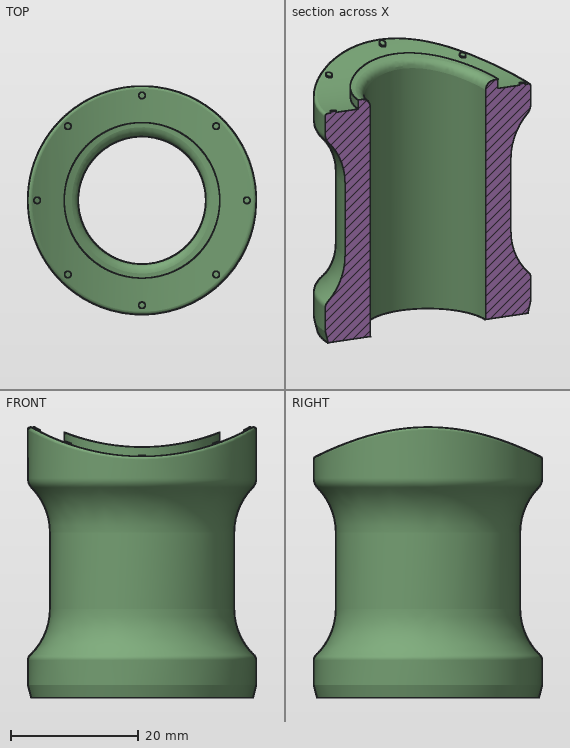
import cadquery as cq
import math

flange_radius = 18.0
neck_radius = 14.55
bore_radius = 10.0
neck_bottom = 14.0
neck_top = 26.05
flare_radius = 10.0
lower_flange_round = 1.05
upper_flange_round = 2.0
base_taper_height = 2.0
base_taper_inset = 0.5

saddle_radius = 35.0
saddle_low_z = 38.0
saddle_axis_z = saddle_low_z + saddle_radius
saddle_edge_round = 0.45

collar_radius = 12.25
collar_height = 1.5
collar_round = 1.5

stud_count = 8
stud_circle_radius = 16.5
stud_radius = 0.5
stud_height = 0.2

blank_height = 46.9
clearance = 0.43
stud_embed = 1.3


def flare_arcs(round_radius):
    """Flare from the neck to the flange wall, ending in a tangent rounding.

    Returns (radius, distance from the neck end) for the middle and end of the
    flare arc, then the middle and end of the rounding.
    """
    flare_center = neck_radius + flare_radius
    round_center = flange_radius - round_radius
    center_distance = flare_radius + round_radius
    rise = math.sqrt(center_distance**2 - (flare_center - round_center) ** 2)
    angle = math.asin(rise / center_distance)

    def on_flare(turn):
        return (flare_center - flare_radius * math.cos(turn), flare_radius * math.sin(turn))

    def on_round(turn):
        return (round_center + round_radius * math.cos(turn), rise - round_radius * math.sin(turn))

    return on_flare(angle / 2), on_flare(angle), on_round(angle / 2), on_round(0)


def below_neck(point):
    return (point[0], neck_bottom - point[1])


def above_neck(point):
    return (point[0], neck_top + point[1])


def make_spool():
    """Solid spool, taller than the finished saddle."""
    lower = [below_neck(point) for point in flare_arcs(lower_flange_round)]
    upper = [above_neck(point) for point in flare_arcs(upper_flange_round)]
    lower_flare_mid, lower_flare_end, lower_round_mid, lower_round_end = lower
    upper_flare_mid, upper_flare_end, upper_round_mid, upper_round_end = upper
    return (
        cq.Workplane("XZ")
        .lineTo(flange_radius - base_taper_inset, 0)
        .lineTo(flange_radius, base_taper_height)
        .lineTo(*lower_round_end)
        .threePointArc(lower_round_mid, lower_flare_end)
        .threePointArc(lower_flare_mid, (neck_radius, neck_bottom))
        .lineTo(neck_radius, neck_top)
        .threePointArc(upper_flare_mid, upper_flare_end)
        .threePointArc(upper_round_mid, upper_round_end)
        .lineTo(flange_radius, blank_height)
        .lineTo(0, blank_height)
        .close()
        .revolve(360, (0, 0, 0), (0, 1, 0))
    )


def saddle_cylinder(offset):
    """Cylinder whose lowest line lies `offset` above the saddle seat."""
    return (
        cq.Workplane("XZ")
        .center(0, saddle_axis_z)
        .circle(saddle_radius - offset)
        .extrude(flange_radius + clearance, both=True)
    )


def column(radius, x=0, y=0, base_z=0):
    return cq.Workplane("XY", origin=(x, y, base_z)).circle(radius).extrude(blank_height - base_z)


def edges_above_saddle_low(part, radius):
    """Edges lying near or above the saddle's lowest line and within `radius` of the axis."""
    reach = radius + clearance
    corner_low = (-reach, -reach, saddle_low_z - clearance)
    corner_high = (reach, reach, blank_height)
    return part.edges(cq.selectors.BoxSelector(corner_low, corner_high, boundingbox=True))


def make_body():
    body = make_spool().cut(saddle_cylinder(0))
    return edges_above_saddle_low(body, flange_radius).fillet(saddle_edge_round)


def make_collar():
    """Collar with its bore and rounded mouth, reaching down into the neck."""
    collar = column(collar_radius, base_z=neck_top)
    collar = collar.cut(saddle_cylinder(collar_height)).cut(column(bore_radius))
    return edges_above_saddle_low(collar, bore_radius).fillet(collar_round)


def make_studs():
    """Short upright pins whose ends follow the saddle."""
    studs = cq.Workplane("XY")
    for index in range(stud_count):
        angle = 2 * math.pi * index / stud_count
        x = stud_circle_radius * math.cos(angle)
        y = stud_circle_radius * math.sin(angle)
        studs = studs.add(column(stud_radius, x, y, saddle_low_z - stud_embed))
    return studs.combine().cut(saddle_cylinder(stud_height))


result = make_body().cut(column(bore_radius)).union(make_collar()).union(make_studs())